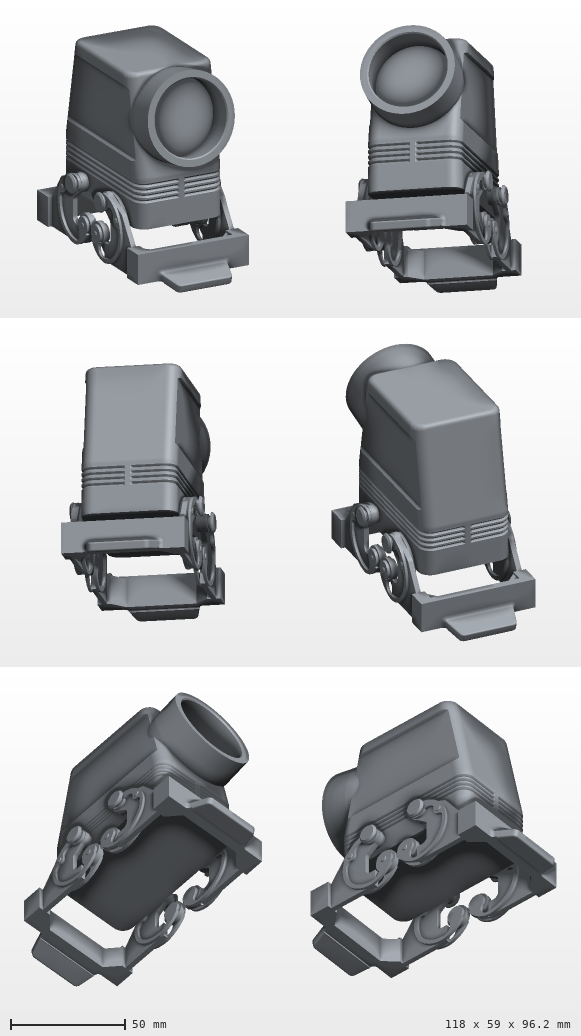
import cadquery as cq
import math

HOOD_HALF_X = 36.3
HOOD_HALF_Y = 21.5
HOOD_HEIGHT = 69.8
TAPER_START_Z = 23.4
TAPER_ANGLE = 11.5
TAPER_BLEND = 4.7
CORNER_RADIUS = 5.9
TOP_FILLET = 2.4

RECESS_LOW_Z = 30.6
RECESS_HIGH_Z = 63.7
RECESS_DEPTH = 1.1

GROOVE_COUNT = 4
GROOVE_TOP_Z = 21.3
GROOVE_PITCH = 2.5
GROOVE_WIDTH = 1.7
GROOVE_DEPTH = 0.77
GROOVE_GAP = 2.4
WEB_DEPTH = 2.4
WEB_FLARE = 3.5

OUTLET_RADIUS = HOOD_HALF_Y
OUTLET_LENGTH = 13.5
OUTLET_FACE_X = 45.3
OUTLET_FACE_Z = 51.8
BORE_RADIUS = 17.7
BORE_CHAMFER = 0.6

PIN_X, PIN_Z = -13.5, 7.3
CAM_X, CAM_Z = PIN_X, -4.8
CAM_RADIUS = 16.1
CHEEK_WIDTH = 2.0
RIVET_X, RIVET_Z = -25.2, 1.9
HOOK_X, HOOK_Z = -6.0, -10.2
PIN_CHEEK_RADIUS = CAM_Z + CAM_RADIUS - PIN_Z
PIN_PLATE_RADIUS = 4.3
RIVET_BOSS_RADIUS = 2.5
HOOK_CHEEK_RADIUS = 4.3
HOOK_ROLLER_RADIUS = 5.5

CHEEK_INNER_Y, CHEEK_OUTER_Y = 21.7, 26.8
PLATE_INNER_Y, PLATE_OUTER_Y = 23.1, 25.5

PIN_STEM_RADIUS = 2.8
PIN_HEAD_RADIUS = 4.6
PIN_HEAD_HEIGHT = 1.3
PIN_HEAD_CHAMFER = 0.8
PIN_END_Y = 29.5

RIVET_RADIUS = 1.48
RIVET_HEIGHT = 0.41
RIVET_CHAMFER = 0.4

BAR_OUTER_X = -47.4
BAR_INNER_X = -43.6
BLOCK_INNER_X = -37.2
BAR_TOP_Z = -6.5
BAR_BOTTOM_Z = -20.5
BAR_HALF_Y = 27.5
BLOCK_INNER_Y = 21.4
GUSSET_LEG_Y = 5.8
GUSSET_DROP = 1.1

GRIP_ANGLE = 14.0
GRIP_TOP_Z = -16.7
GRIP_THICKNESS = 4.0
GRIP_TIP_X = -59.0
GRIP_ROOT_HALF_Y = 16.8
GRIP_TIP_HALF_Y = 13.3
GRIP_CORNER_RADIUS = 2.4
GRIP_EDGE_FILLET = 0.7
GRIP_ROOT_FILLET = 2.1

MARGIN = 1.2


def rounded_block(half_x, half_y, radius, z, height, taper=0):
    """Rounded-corner block standing on height z."""
    outline = cq.Sketch().rect(2 * half_x, 2 * half_y).vertices().fillet(radius)
    return cq.Workplane("XY", origin=(0, 0, z)).placeSketch(outline).extrude(height, taper=taper)


def side_plane(y):
    """Workplane parallel to the XZ plane at the given y; extrude by a negative length towards +Y."""
    return cq.Workplane("XZ", origin=(0, y, 0))


def side_disc(x, z, radius, start_y, end_y):
    """Round disc or pin whose axis runs along Y."""
    return side_plane(start_y).center(x, z).circle(radius).extrude(start_y - end_y)


def hood_shell():
    """Straight foot, tapered ends, rounded corners and a rounded top edge."""
    top_half_x = HOOD_HALF_X - (HOOD_HEIGHT - TAPER_START_Z) * math.tan(math.radians(TAPER_ANGLE))
    shell = (
        side_plane(-HOOD_HALF_Y)
        .moveTo(-HOOD_HALF_X, 0)
        .lineTo(HOOD_HALF_X, 0)
        .lineTo(HOOD_HALF_X, TAPER_START_Z)
        .lineTo(top_half_x, HOOD_HEIGHT)
        .lineTo(-top_half_x, HOOD_HEIGHT)
        .lineTo(-HOOD_HALF_X, TAPER_START_Z)
        .close()
        .extrude(-2 * HOOD_HALF_Y)
    )
    bend_edges = cq.selectors.BoxSelector(
        (-HOOD_HALF_X - MARGIN, -MARGIN, TAPER_START_Z - MARGIN),
        (HOOD_HALF_X + MARGIN, MARGIN, TAPER_START_Z + MARGIN),
    )
    shell = shell.edges("|Y").edges(bend_edges).fillet(TAPER_BLEND)
    shell = shell.edges("(not |Y) and (not |X)").fillet(CORNER_RADIUS)
    return shell.faces(">Z").edges().fillet(TOP_FILLET)


def side_recess():
    """Shallow bevelled recess across the whole +Y side of the hood."""
    floor_y = HOOD_HALF_Y - RECESS_DEPTH
    outline = [
        (HOOD_HALF_Y, RECESS_LOW_Z),
        (floor_y, RECESS_LOW_Z + RECESS_DEPTH),
        (floor_y, RECESS_HIGH_Z - RECESS_DEPTH),
        (HOOD_HALF_Y, RECESS_HIGH_Z),
    ]
    return cq.Workplane("YZ").polyline(outline).close().extrude(HOOD_HALF_X, both=True)


def grip_grooves():
    """V-grooves around the hood, interrupted in the middle of both ends."""
    half_width = GROOVE_WIDTH / 2
    flank_angle = math.degrees(math.atan(GROOVE_DEPTH / half_width))
    first_z = GROOVE_TOP_Z - half_width
    grooves = cq.Workplane("XY")
    for index in range(GROOVE_COUNT):
        z = first_z - index * GROOVE_PITCH
        upper_core = rounded_block(HOOD_HALF_X, HOOD_HALF_Y, CORNER_RADIUS, 0, half_width, flank_angle)
        upper_core = upper_core.mirror("XY").translate((0, 0, z + half_width))
        lower_core = rounded_block(
            HOOD_HALF_X, HOOD_HALF_Y, CORNER_RADIUS, z - half_width, half_width, flank_angle
        )
        band = cq.Workplane("XY", origin=(0, 0, z)).box(
            2 * HOOD_HALF_X + MARGIN, 2 * HOOD_HALF_Y + MARGIN, GROOVE_WIDTH
        )
        grooves = grooves.add(band.cut(upper_core).cut(lower_core))
    grooves = grooves.combine()

    inner_x = HOOD_HALF_X - WEB_DEPTH
    outer_x = HOOD_HALF_X + WEB_DEPTH
    half_gap = GROOVE_GAP / 2
    web = (
        cq.Workplane("XY")
        .moveTo(inner_x, -half_gap - WEB_FLARE)
        .lineTo(HOOD_HALF_X, -half_gap)
        .lineTo(outer_x, -half_gap)
        .lineTo(outer_x, half_gap)
        .lineTo(HOOD_HALF_X, half_gap)
        .lineTo(inner_x, half_gap + WEB_FLARE)
        .close()
        .extrude(TAPER_START_Z)
    )
    return grooves.cut(web).cut(web.mirror("YZ"))


def outlet_plane():
    """Workplane on the outlet face, with its normal along the tube axis."""
    tilt = math.radians(TAPER_ANGLE)
    axis = (math.cos(tilt), 0, math.sin(tilt))
    return cq.Workplane(cq.Plane((OUTLET_FACE_X, 0, OUTLET_FACE_Z), xDir=(0, 1, 0), normal=axis))


def hood():
    """Hood with its side recesses, grooves and blind-bored cable outlet."""
    body = hood_shell()
    recess = side_recess()
    body = body.cut(recess).cut(recess.mirror("XZ")).cut(grip_grooves())
    tube = outlet_plane().circle(OUTLET_RADIUS).extrude(-OUTLET_LENGTH)
    inner_end = outlet_plane().workplane(offset=-OUTLET_LENGTH)
    ball = inner_end.sphere(OUTLET_RADIUS)
    bore = inner_end.circle(BORE_RADIUS).extrude(2 * OUTLET_RADIUS)
    body = body.union(tube).union(ball).cut(bore)
    mouth = (
        outlet_plane()
        .circle(BORE_RADIUS + BORE_CHAMFER)
        .workplane(offset=-BORE_CHAMFER)
        .circle(BORE_RADIUS)
        .loft()
    )
    return body.cut(mouth)


def lever_cheek(inner_y, outer_y):
    """Crescent-shaped strip from the pivot pin around the cam to the hook."""
    inner_radius = CAM_RADIUS - CHEEK_WIDTH
    crescent = (
        side_plane(inner_y)
        .moveTo(CAM_X, CAM_Z + CAM_RADIUS)
        .threePointArc((CAM_X - CAM_RADIUS, CAM_Z), (CAM_X, CAM_Z - CAM_RADIUS))
        .threePointArc((-5.8, -17.7), (-2.1, -13.3))
        .lineTo(HOOK_X, HOOK_Z)
        .lineTo(-9.3, -13.1)
        .threePointArc((-9.0, -16.7), (CAM_X, CAM_Z - inner_radius))
        .threePointArc((-23.6, -14.5), (-27.5, -4.3))
        .threePointArc((-26.7, -1.4), (RIVET_X + 0.6, RIVET_Z - RIVET_BOSS_RADIUS))
        .threePointArc((-23.3, 0.2), (RIVET_X + RIVET_BOSS_RADIUS, RIVET_Z))
        .lineTo(-22.7, 4.0)
        .threePointArc((-20.8, 6.0), (-18.2, 6.3))
        .lineTo(PIN_X, PIN_Z)
        .close()
        .extrude(inner_y - outer_y)
    )
    pin_boss = side_disc(PIN_X, PIN_Z, PIN_CHEEK_RADIUS, inner_y, outer_y)
    hook = side_disc(HOOK_X, HOOK_Z, HOOK_CHEEK_RADIUS, inner_y, outer_y)
    return crescent.union(pin_boss).union(hook)


def lever_plate():
    """Thin web between the cheeks, reaching from the cross bar to the pin, and the hook roller."""
    thickness = PLATE_OUTER_Y - PLATE_INNER_Y
    web = (
        side_plane(PLATE_INNER_Y)
        .moveTo(BLOCK_INNER_X, BAR_BOTTOM_Z)
        .lineTo(BLOCK_INNER_X, BAR_TOP_Z)
        .lineTo(-29.3, 4.5)
        .threePointArc((-28.2, 5.7), (-26.9, 6.4))
        .lineTo(-15.0, 11.2)
        .lineTo(PIN_X, PIN_Z)
        .lineTo(-11.0, 4.1)
        .lineTo(-16.2, 0.1)
        .threePointArc((-17.2, -0.8), (-17.6, -2.0))
        .lineTo(-17.6, -9.5)
        .threePointArc((-16.8, -11.3), (-14.9, -12.2))
        .lineTo(-11.9, -12.2)
        .lineTo(-12.3, BAR_BOTTOM_Z)
        .close()
        .extrude(-thickness)
    )
    pin_boss = side_disc(PIN_X, PIN_Z, PIN_PLATE_RADIUS, PLATE_INNER_Y, PLATE_OUTER_Y)
    roller = side_disc(HOOK_X, HOOK_Z, HOOK_ROLLER_RADIUS, PLATE_INNER_Y, PLATE_OUTER_Y)
    return web.union(pin_boss).union(roller)


def pivot_pin():
    head_y = PIN_END_Y - PIN_HEAD_HEIGHT
    stem = side_disc(PIN_X, PIN_Z, PIN_STEM_RADIUS, HOOD_HALF_Y, head_y)
    head = side_disc(PIN_X, PIN_Z, PIN_HEAD_RADIUS, head_y, PIN_END_Y)
    return stem.union(head.faces(">Y").edges().chamfer(PIN_HEAD_CHAMFER))


def rivet(x, z):
    head = side_disc(x, z, RIVET_RADIUS, CHEEK_OUTER_Y, CHEEK_OUTER_Y + RIVET_HEIGHT)
    return head.faces(">Y").edges().chamfer(RIVET_CHAMFER)


def lever_arm():
    inner_cheek = lever_cheek(CHEEK_INNER_Y, PLATE_INNER_Y)
    outer_cheek = lever_cheek(PLATE_OUTER_Y, CHEEK_OUTER_Y)
    arm = lever_plate().union(inner_cheek).union(outer_cheek).union(pivot_pin())
    return arm.union(rivet(RIVET_X, RIVET_Z)).union(rivet(HOOK_X, HOOK_Z))


def grip():
    """Tapered finger grip sloping down and away from the bar."""
    tilt = math.radians(GRIP_ANGLE)
    rounding_loss = GRIP_EDGE_FILLET * (math.cos(tilt) + math.sin(tilt) - 1)
    length = (BAR_OUTER_X - GRIP_TIP_X + rounding_loss) / math.cos(tilt)
    overlap = BAR_INNER_X - BAR_OUTER_X - MARGIN
    paddle = (
        cq.Workplane("XY", origin=(0, 0, -GRIP_THICKNESS))
        .moveTo(overlap, -GRIP_ROOT_HALF_Y)
        .lineTo(0, -GRIP_ROOT_HALF_Y)
        .lineTo(-length, -GRIP_TIP_HALF_Y)
        .lineTo(-length, GRIP_TIP_HALF_Y)
        .lineTo(0, GRIP_ROOT_HALF_Y)
        .lineTo(overlap, GRIP_ROOT_HALF_Y)
        .close()
        .extrude(GRIP_THICKNESS)
    )
    paddle = paddle.edges("|Z and <X").fillet(GRIP_CORNER_RADIUS)
    paddle = paddle.faces("<Z or >Z").edges("not >X").fillet(GRIP_EDGE_FILLET)
    paddle = paddle.rotate((0, 0, 0), (0, 1, 0), -GRIP_ANGLE)
    return paddle.translate((BAR_OUTER_X, 0, GRIP_TOP_Z))


def filleted_grip():
    """Grip with a fillet at its root, cut off flush with the underside of the bar."""
    width = BAR_INNER_X - BAR_OUTER_X
    allowance = 2 * GRIP_THICKNESS
    top_z = GRIP_TOP_Z + 2 * GRIP_ROOT_FILLET
    height = top_z - BAR_BOTTOM_Z + allowance
    backing = cq.Workplane("XY", origin=(BAR_OUTER_X + width / 2, 0, top_z - height / 2))
    backing = backing.box(width, 2 * BAR_HALF_Y, height)
    reach = MARGIN / 10
    root_edges = cq.selectors.BoxSelector(
        (BAR_OUTER_X - reach, -GRIP_ROOT_HALF_Y - MARGIN, GRIP_TOP_Z - GRIP_THICKNESS - MARGIN),
        (BAR_OUTER_X + reach, GRIP_ROOT_HALF_Y + MARGIN, GRIP_TOP_Z + reach),
    )
    joined = backing.union(grip()).edges(root_edges).fillet(GRIP_ROOT_FILLET)
    trim_depth = width + GRIP_ROOT_FILLET
    trim = cq.Workplane("XY", origin=(BAR_INNER_X - trim_depth / 2, 0, BAR_BOTTOM_Z - allowance / 2))
    return joined.cut(trim.box(trim_depth, 2 * BAR_HALF_Y, allowance))


def cross_bar():
    """Bar with an end block and a low corner gusset at each end, carrying the grip."""
    outline = [
        (BAR_OUTER_X, -BAR_HALF_Y),
        (BLOCK_INNER_X, -BAR_HALF_Y),
        (BLOCK_INNER_X, -BLOCK_INNER_Y),
        (BAR_INNER_X, -BLOCK_INNER_Y),
        (BAR_INNER_X, BLOCK_INNER_Y),
        (BLOCK_INNER_X, BLOCK_INNER_Y),
        (BLOCK_INNER_X, BAR_HALF_Y),
        (BAR_OUTER_X, BAR_HALF_Y),
    ]
    height = BAR_TOP_Z - BAR_BOTTOM_Z
    base = cq.Workplane("XY", origin=(0, 0, BAR_BOTTOM_Z))
    bar = base.polyline(outline).close().extrude(height)
    bar = bar.union(filleted_grip())
    corner = [
        (BAR_INNER_X, BLOCK_INNER_Y),
        (BLOCK_INNER_X, BLOCK_INNER_Y),
        (BAR_INNER_X, BLOCK_INNER_Y - GUSSET_LEG_Y),
    ]
    gusset = base.polyline(corner).close().extrude(height - GUSSET_DROP)
    return bar.union(gusset).union(gusset.mirror("XZ"))


def lever():
    arm = lever_arm()
    return cross_bar().union(arm).union(arm.mirror("XZ"))


left_lever = lever()
result = hood().union(left_lever).union(left_lever.mirror("YZ"))